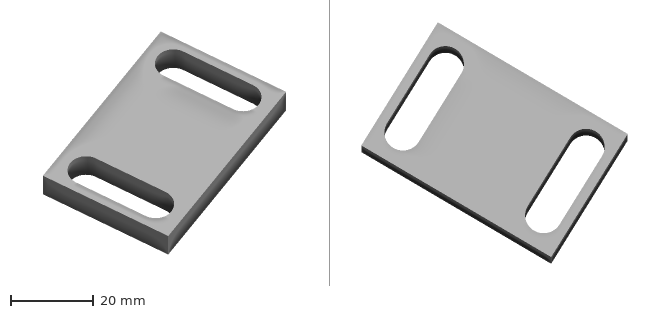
import cadquery as cq

plate_width = 36.0
plate_length = 54.0
plate_thickness = 7.0

slot_length = 29.0
slot_width = 9.0
slot_spacing = 40.0

plate = cq.Workplane("XY").box(plate_width, plate_length, plate_thickness)

result = (
    plate.faces(">Z")
    .workplane()
    .rarray(0.55, slot_spacing, 1, 2)
    .slot2D(slot_length, slot_width)
    .cutThruAll()
)